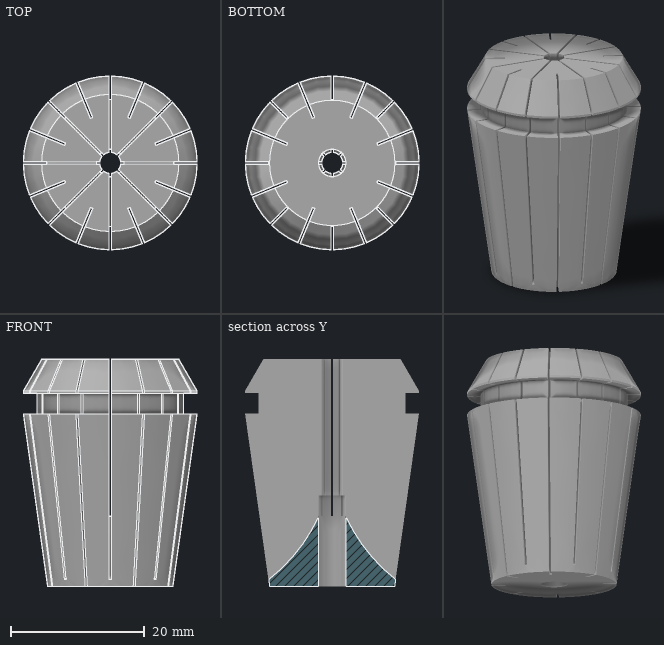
import cadquery as cq
import math

HEIGHT = 34.0
MAX_RADIUS = 13.005
TAPER_ANGLE = 8.0
NOSE_ANGLE = 30.0
NOSE_HEIGHT = 4.75
RIM_HEIGHT = 0.35
GROOVE_RADIUS = 10.98
GROOVE_WIDTH = 3.05

BORE_RADIUS = 1.55
CLEARANCE_RADIUS = 2.05
CLEARANCE_DEPTH = 13.6

SLOT_COUNT = 8
SLOT_WIDTH = 0.35
SHORT_SLOT_INNER_RADIUS = 7.3
BLADE_RADIUS = 25.5
BLADE_CENTER_RADIUS = 25.23
BLADE_CENTER_Z = 21.15
OVERCUT = 1.7

SLOT_PITCH = 360.0 / SLOT_COUNT
CUT_RADIUS = MAX_RADIUS + OVERCUT
CUT_TOP = HEIGHT + OVERCUT


def make_body():
    """Revolve the outer outline: taper, groove, rim and nose cone."""
    rim_top = HEIGHT - NOSE_HEIGHT
    groove_top = rim_top - RIM_HEIGHT
    taper_top = groove_top - GROOVE_WIDTH
    bottom_radius = MAX_RADIUS - taper_top * math.tan(math.radians(TAPER_ANGLE))
    top_radius = MAX_RADIUS - NOSE_HEIGHT * math.tan(math.radians(NOSE_ANGLE))
    outline = [
        (0, 0),
        (bottom_radius, 0),
        (MAX_RADIUS, taper_top),
        (GROOVE_RADIUS, taper_top),
        (GROOVE_RADIUS, groove_top),
        (MAX_RADIUS, groove_top),
        (MAX_RADIUS, rim_top),
        (top_radius, HEIGHT),
        (0, HEIGHT),
    ]
    return cq.Workplane("XZ").polyline(outline).close().revolve(360, (0, 0), (0, 1))


def make_bore():
    """Through bore joined with the clearance bore that enters from below."""
    bore = cq.Workplane("XY").circle(BORE_RADIUS).extrude(HEIGHT)
    clearance = cq.Workplane("XY").circle(CLEARANCE_RADIUS).extrude(CLEARANCE_DEPTH)
    return bore.union(clearance)


def blade_point(radius):
    """Point on the lower side of the saw blade at a distance from the axis."""
    reach = BLADE_CENTER_RADIUS - radius
    return (radius, BLADE_CENTER_Z - math.sqrt(BLADE_RADIUS**2 - reach**2))


def make_deep_slot():
    """Slot from the bore outwards, open at the top, with a saw-blade floor."""
    inner_radius = BORE_RADIUS / 2
    return (
        cq.Workplane("XZ")
        .moveTo(*blade_point(inner_radius))
        .threePointArc(blade_point((inner_radius + CUT_RADIUS) / 2), blade_point(CUT_RADIUS))
        .lineTo(CUT_RADIUS, CUT_TOP)
        .lineTo(inner_radius, CUT_TOP)
        .close()
        .extrude(SLOT_WIDTH / 2, both=True)
    )


def make_short_slot():
    """Slot through the full height that stops short of the bore."""
    length = CUT_RADIUS - SHORT_SLOT_INNER_RADIUS
    return (
        cq.Workplane("XY")
        .box(length, SLOT_WIDTH, HEIGHT, centered=(False, True, False))
        .translate((SHORT_SLOT_INNER_RADIUS, 0, 0))
    )


def turn(shape, angle):
    """Rotate a shape about the collet axis."""
    return shape.rotate((0, 0, 0), (0, 0, 1), angle)


result = make_body().cut(make_bore())
deep_slot = make_deep_slot()
short_slot = make_short_slot()
for index in range(SLOT_COUNT):
    angle = index * SLOT_PITCH
    result = result.cut(turn(deep_slot, angle))
    result = result.cut(turn(short_slot, angle + SLOT_PITCH / 2))